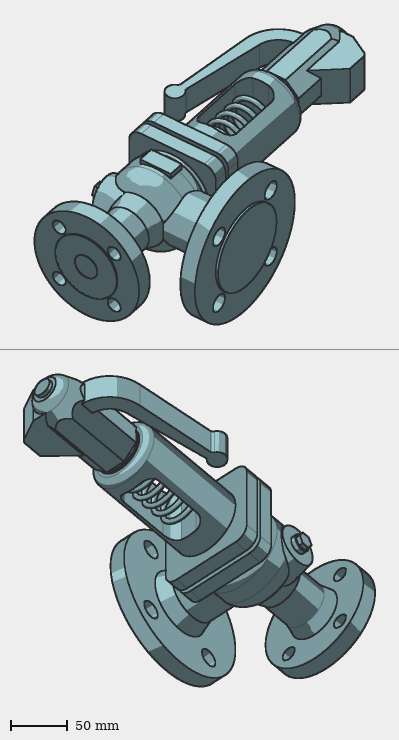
import cadquery as cq
import math


inlet_face_y = -105.0
inlet_raised_height = 1.0
inlet_raised_radius = 33.7
inlet_flange_radius = 57.5
flange_thickness = 16.0
inlet_port_radius = 12.3
inlet_port_recess = 0.5
inlet_bolt_circle_radius = 42.5
inlet_bolt_hole_diameter = 14.0
inlet_pipe_radius = 23.0
inlet_hub_radius = 27.0
inlet_hub_length = 13.5
neck_cone_end_y = -42.0

outlet_face_x = 100.0
outlet_raised_height = 2.5
outlet_raised_radius = 43.7
outlet_flange_diameter = 150.0
outlet_bolt_circle_radius = 55.0
outlet_bolt_hole_diameter = 18.0
outlet_pipe_radius = 27.5
outlet_hub_radius = 33.5
outlet_hub_length = 15.0

bolt_holes_per_flange = 4
first_bolt_angle = 45

bowl_radius = 42.5
bowl_top_y = 11.0
bowl_bottom_y = -5.5
bowl_arc_radius = 22.2
bowl_end_y = -26.0
shoulder_y = 21.5
shoulder_radius = 39.0
flare_top_radius = 40.5
flare_arc_radius = 4.0

boss_y = -15.5
boss_face_x = -43.7
boss_face_radius = 20.5
boss_inner_x = -15.5
boss_draft = 12.0
plug_collar_radius = 9.0
plug_collar_length = 5.0
plug_head_sides = 6
plug_head_radius = 8.0
plug_head_length = 4.5

pad_length = 33.7
pad_width = 16.5
pad_center_y = 7.3
pad_top_z = 44.5

clamp_side = 95.0
clamp_corner_radius = 13.0
lower_clamp_y = 24.5
lower_clamp_thickness = 14.5
clamp_gap = 4.2
upper_clamp_thickness = 14.0
seal_collar_radius = 37.2
seal_disc_radius = 40.3
seal_disc_height = 1.5

bonnet_radius = 34.5
bonnet_top_y = 174.5
bonnet_fillet = 7.3
window_width = 40.3
window_bottom_y = 81.3
window_top_y = 156.5
window_corner_radius = 11.5

coil_count = 5
coil_pitch = 12.5
coil_wire_radius = 2.5
coil_mean_radius = 20.7
top_coil_y = 144.0

cap_sides = 8
cap_across_flats = 49.0
cap_bottom_y = 180.0
cap_stem_radius = 22.5
cap_stem_collar_radius = 23.8
cap_stem_collar_height = 1.5
cap_cone_angle = 18.0
cap_cone_top_y = 266.5
cap_cone_top_radius = 20.7
cap_dome_top_y = 274.5
cap_dome_top_radius = 13.0
cap_button_top_y = 278.5
cap_button_radius = 9.0

lever_width = 27.2
lever_bend_x = -19.5
lever_bend_y = 209.8
lever_outer_radius = 39.5
lever_inner_radius = 25.0
lever_mid_bend_slope = 45
lever_outer_slope = 6.8
lever_inner_slope = 10.9
lever_knob_x = -67.0
lever_knob_y = 119.5
lever_knob_radius = 9.2
lever_knob_fillet = 4.0

housing_width = 40.0
housing_side_x = 44.0
housing_top_corner_x = 20.7
housing_upper_y = 253.5
housing_lower_y = 230.0
housing_tip_x = 15.0
housing_tip_y = 205.5
housing_corner_fillet = 5.8

upper_clamp_y = lower_clamp_y + lower_clamp_thickness + clamp_gap
bonnet_bottom_y = upper_clamp_y + upper_clamp_thickness


def disc(radius, start_y, end_y):
    """Cylinder on the Y axis from start_y up to end_y."""
    return cq.Workplane("XZ", origin=(0, start_y, 0)).circle(radius).extrude(start_y - end_y)


def bolt_holes(plane, bolt_circle_radius, diameter, length):
    """Bolt hole cutters, straddling the flange centre lines, both ways from the plane."""
    return (
        cq.Workplane(plane)
        .polarArray(bolt_circle_radius, first_bolt_angle, 360, bolt_holes_per_flange)
        .circle(diameter / 2)
        .extrude(length, both=True)
    )


def make_body():
    """Bowl, neck cone and inlet branch turned as one profile about Y."""
    bowl_arc_center_x = bowl_radius - bowl_arc_radius
    end_angle = math.asin((bowl_bottom_y - bowl_end_y) / bowl_arc_radius)
    bowl_end_radius = bowl_arc_center_x + bowl_arc_radius * math.cos(end_angle)
    bowl_mid = (
        bowl_arc_center_x + bowl_arc_radius * math.cos(end_angle / 2),
        bowl_bottom_y - bowl_arc_radius * math.sin(end_angle / 2),
    )
    flange_bottom_y = inlet_face_y + inlet_raised_height
    flange_top_y = flange_bottom_y + flange_thickness
    profile = (
        cq.Workplane("XY")
        .moveTo(0, inlet_face_y + inlet_port_recess)
        .lineTo(inlet_port_radius, inlet_face_y + inlet_port_recess)
        .lineTo(inlet_port_radius, inlet_face_y)
        .lineTo(inlet_raised_radius, inlet_face_y)
        .lineTo(inlet_raised_radius, flange_bottom_y)
        .lineTo(inlet_flange_radius, flange_bottom_y)
        .lineTo(inlet_flange_radius, flange_top_y)
        .lineTo(inlet_hub_radius, flange_top_y)
        .lineTo(inlet_pipe_radius, flange_top_y + inlet_hub_length)
        .lineTo(inlet_pipe_radius, neck_cone_end_y)
        .lineTo(bowl_end_radius, bowl_end_y)
        .threePointArc(bowl_mid, (bowl_radius, bowl_bottom_y))
        .lineTo(bowl_radius, bowl_top_y)
        .tangentArcPoint((shoulder_radius, shoulder_y), relative=False)
        .radiusArc((flare_top_radius, lower_clamp_y), flare_arc_radius)
        .lineTo(0, lower_clamp_y)
        .close()
    )
    body = profile.revolve(360, (0, 0), (0, 1))
    holes = bolt_holes("XZ", inlet_bolt_circle_radius, inlet_bolt_hole_diameter, flange_thickness)
    return body.cut(holes.translate((0, flange_bottom_y, 0)))


def make_outlet():
    """Outlet pipe, hub and flange turned about X."""
    flange_end_x = outlet_face_x - outlet_raised_height
    flange_start_x = flange_end_x - flange_thickness
    profile = (
        cq.Workplane("XY")
        .lineTo(0, outlet_pipe_radius)
        .lineTo(flange_start_x - outlet_hub_length, outlet_pipe_radius)
        .lineTo(flange_start_x, outlet_hub_radius)
        .lineTo(flange_start_x, outlet_flange_diameter / 2)
        .lineTo(flange_end_x, outlet_flange_diameter / 2)
        .lineTo(flange_end_x, outlet_raised_radius)
        .lineTo(outlet_face_x, outlet_raised_radius)
        .lineTo(outlet_face_x, 0)
        .close()
    )
    outlet = profile.revolve(360, (0, 0), (1, 0))
    holes = bolt_holes("YZ", outlet_bolt_circle_radius, outlet_bolt_hole_diameter, flange_thickness)
    return outlet.cut(holes.translate((flange_start_x, 0, 0)))


def make_drain_boss():
    """Drafted boss that widens towards the body, with a collared hexagon plug on its face."""
    collar_end_x = boss_face_x - plug_collar_length
    boss = (
        cq.Workplane("YZ", origin=(boss_face_x, boss_y, 0))
        .circle(boss_face_radius)
        .extrude(boss_inner_x - boss_face_x, taper=-boss_draft)
    )
    collar = (
        cq.Workplane("YZ", origin=(boss_face_x, boss_y, 0))
        .circle(plug_collar_radius)
        .extrude(-plug_collar_length)
    )
    head = (
        cq.Workplane("YZ", origin=(collar_end_x, boss_y, 0))
        .polygon(plug_head_sides, 2 * plug_head_radius)
        .extrude(-plug_head_length)
    )
    return boss.union(collar).union(head)


def make_name_pad():
    """Rectangular pad that rises out of the bowl."""
    return (
        cq.Workplane("XY", origin=(0, pad_center_y, 0))
        .rect(pad_length, pad_width)
        .extrude(pad_top_z)
    )


def make_clamp(bottom_y, thickness):
    """Square clamp flange with rounded corners."""
    return (
        cq.Workplane("XZ", origin=(0, bottom_y, 0))
        .rect(clamp_side, clamp_side)
        .extrude(-thickness)
        .edges("|Y")
        .fillet(clamp_corner_radius)
    )


def make_seal():
    """Round seal in the gap between the clamp flanges, a thin disc below a narrower collar."""
    gap_start_y = upper_clamp_y - clamp_gap
    seal_disc = disc(seal_disc_radius, gap_start_y, gap_start_y + seal_disc_height)
    return seal_disc.union(disc(seal_collar_radius, gap_start_y, upper_clamp_y))


def make_bonnet():
    """Round bonnet with a rounded top rim and a window right through it."""
    window_height = window_top_y - window_bottom_y
    bonnet = disc(bonnet_radius, bonnet_bottom_y, bonnet_top_y).faces(">Y").edges().fillet(bonnet_fillet)
    window = (
        cq.Workplane("XY", origin=(0, window_bottom_y + window_height / 2, 0))
        .rect(window_width, window_height)
        .extrude(bonnet_radius, both=True)
        .edges("|Z")
        .fillet(window_corner_radius)
    )
    return bonnet.cut(window)


def make_coil(center_y):
    """Spring ring whose sides are embedded in the window walls."""
    return (
        cq.Workplane("XY")
        .center(coil_mean_radius, center_y)
        .circle(coil_wire_radius)
        .revolve(360, (-coil_mean_radius, 0), (-coil_mean_radius, 1))
    )


def make_cap():
    """Octagonal cap trimmed by a cone, with a rounded crown and a button on top."""
    half_side_angle = 180 / cap_sides
    corner_radius = cap_across_flats / 2 / math.cos(math.radians(half_side_angle))
    trim_radius = cap_across_flats
    cone_drop = (trim_radius - cap_cone_top_radius) / math.tan(math.radians(cap_cone_angle))
    octagon = (
        cq.Workplane("XZ", origin=(0, cap_bottom_y, 0))
        .polygon(cap_sides, 2 * corner_radius)
        .extrude(cap_bottom_y - cap_dome_top_y)
        .rotate((0, 0, 0), (0, 1, 0), half_side_angle)
    )
    trim = (
        cq.Workplane("XY")
        .moveTo(0, cap_bottom_y)
        .lineTo(trim_radius, cap_bottom_y)
        .lineTo(trim_radius, cap_cone_top_y - cone_drop)
        .lineTo(cap_cone_top_radius, cap_cone_top_y)
        .tangentArcPoint((cap_dome_top_radius, cap_dome_top_y), relative=False)
        .lineTo(0, cap_dome_top_y)
        .close()
        .revolve(360, (0, 0), (0, 1))
    )
    stem = disc(cap_stem_radius, bonnet_top_y, cap_bottom_y)
    collar = disc(cap_stem_collar_radius, bonnet_top_y, bonnet_top_y + cap_stem_collar_height)
    button = disc(cap_button_radius, cap_dome_top_y, cap_button_top_y)
    return octagon.intersect(trim).union(stem).union(collar).union(button)


def lever_bend_point(radius, slope):
    """Point on a bend arc whose tangent leans from the Y axis by the given slope."""
    angle = math.radians(slope)
    return (lever_bend_x - radius * math.cos(angle), lever_bend_y + radius * math.sin(angle))


def lever_arm_end(radius, slope):
    """Point where a straight arm edge, tangent to its bend arc, reaches the knob height."""
    tangent_x, tangent_y = lever_bend_point(radius, slope)
    return (tangent_x - (tangent_y - lever_knob_y) * math.tan(math.radians(slope)), lever_knob_y)


def make_lever():
    """Bent lever that tapers to a round knob, with filleted corners where they meet."""
    arm = (
        cq.Workplane("XY")
        .moveTo(lever_bend_x, lever_bend_y + lever_inner_radius)
        .lineTo(lever_bend_x, lever_bend_y + lever_outer_radius)
        .threePointArc(
            lever_bend_point(lever_outer_radius, lever_mid_bend_slope),
            lever_bend_point(lever_outer_radius, lever_outer_slope),
        )
        .lineTo(*lever_arm_end(lever_outer_radius, lever_outer_slope))
        .lineTo(*lever_arm_end(lever_inner_radius, lever_inner_slope))
        .lineTo(*lever_bend_point(lever_inner_radius, lever_inner_slope))
        .threePointArc(
            lever_bend_point(lever_inner_radius, lever_mid_bend_slope),
            (lever_bend_x, lever_bend_y + lever_inner_radius),
        )
        .close()
        .extrude(lever_width / 2, both=True)
    )
    knob = (
        cq.Workplane("XY", origin=(lever_knob_x, lever_knob_y, 0))
        .circle(lever_knob_radius)
        .extrude(lever_width / 2, both=True)
    )
    neck_box = cq.selectors.BoxSelector(
        (lever_knob_x - lever_knob_radius, lever_knob_y + lever_knob_radius / 2, -lever_width),
        (lever_knob_x + lever_knob_radius, lever_knob_y + 2 * lever_knob_radius, lever_width),
    )
    return arm.union(knob).edges("|Z").edges(neck_box).fillet(lever_knob_fillet)


def make_lever_housing():
    """Flat-sided housing that shields the lever pivot."""
    return (
        cq.Workplane("XY")
        .moveTo(0, cap_cone_top_y)
        .lineTo(housing_top_corner_x, cap_cone_top_y)
        .lineTo(housing_side_x, housing_upper_y)
        .lineTo(housing_side_x, housing_lower_y)
        .lineTo(housing_tip_x, housing_tip_y)
        .lineTo(0, housing_tip_y)
        .close()
        .extrude(housing_width / 2, both=True)
        .edges(cq.selectors.NearestToPointSelector((housing_side_x, housing_upper_y, 0)))
        .fillet(housing_corner_fillet)
    )


parts = [
    make_outlet(),
    make_drain_boss(),
    make_name_pad(),
    make_clamp(lower_clamp_y, lower_clamp_thickness),
    make_seal(),
    make_clamp(upper_clamp_y, upper_clamp_thickness),
    make_bonnet(),
    make_cap(),
    make_lever(),
    make_lever_housing(),
]
for index in range(coil_count):
    parts.append(make_coil(top_coil_y - index * coil_pitch))

valve = make_body()
for part in parts:
    valve = valve.union(part)

result = valve